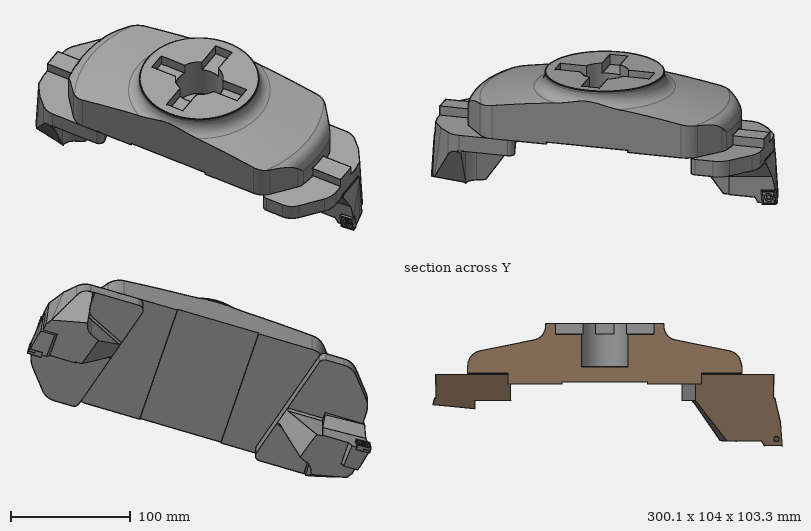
import cadquery as cq
import math


HALF_WIDTH = 104.0 / 2
CORNER_FILLET = 16.0
CHAMFER_ANGLE = math.radians(51)
KEY_WIDTH = 17.5
KEY_HEIGHT = 8.0
KEY_INNER_X = 81
FAR = 180

BOSS_RADIUS = 100.0 / 2
BOSS_TOP = 50.7
BOSS_CHAMFER = 0.5
CONE_ANGLE = math.radians(11.4)
CONE_INNER_RADIUS = 59.0
CONE_INNER_HEIGHT = 37.2
BRIDGE_END_RADIUS = 115.0
RIM_FILLET = 13.2
BRIDGE_CORNER_X = 90
BRIDGE_END_FILLET = 11.5
BORE_DIAMETER = 40.0
BORE_DEPTH = 36
CROSS_SLOT_LENGTH = 82.2
CROSS_SLOT_WIDTH = 15.5
CROSS_SLOT_DEPTH = 9
RELIEF_LENGTH = 71.0
RELIEF_DEPTH = 1.8
KEYWAY_HEIGHT = 9

PLATE_INNER_BACK_X = 63
PLATE_INNER_CUTTING_X = 91.0
PLATE_END_X = 141.3
PLATE_THICKNESS = 13.8
PLATE_CORNER_X = 118.0
PLATE_END_FILLET = 19.5
BACK_CHAMFER_ANGLE = math.radians(45)
INNER_FILLET = 4.8
BACK_ALLOWANCE = 3

BODY_BOTTOM = -47.7
SHOULDER_X = 109.8
SEAT_X = 108.3
SEAT_FACE_Y = -6.3
LEG_FACE_Y = 1.0
LEG_TIP_Y = 13.5
LEG_BACK_SLOPE = 0.49
LEG_FILLET = 11.5
LEG_END_LEAN = 23.5
LEG_OVERLAP = 3
ROOT_FLARE = 1.8
BODY_BOTTOM_BACK = -46.8
BACK_SLOPE_TOP = -16.2
BACK_SLOPE_BOTTOM_Y = 37.0
CHAMFER_FOOT = (139.5, 30.3, BODY_BOTTOM)

SEAT_TILT = 5.7
NOSE_TOP = -11.7
NOSE_INNER_X = 130.8
NOSE_SIDE_Y = 20.0
NOSE_BOTTOM = -52.0
NOSE_BOTTOM_BACK = -50.7
NOSE_LEDGE_X = 142.2
NOSE_FOOT_SETBACK = 3
RAKE_Y = 0
GULLET_TOP = -18.3
GULLET_ROOF_END = -31.5

INSERT_SIDE = 12
INSERT_THICKNESS = 4.5
INSERT_X = 143.5
INSERT_Z = -46.0
CHIP_GROOVE_SIDE = 9.5
CHIP_GROOVE_DEPTH = 0.3
SCREW_DIAMETER = 4.0
SCREW_HEAD_DIAMETER = 7.2
SCREW_HEAD_HEIGHT = 1.8
SCREW_LENGTH = 12
SOCKET_DEPTH = 1.0


def box(x_range, y_range, z_range):
    """Box between two limits along each axis."""
    size = [high - low for low, high in (x_range, y_range, z_range)]
    return cq.Workplane().box(*size, centered=False).translate((x_range[0], y_range[0], z_range[0]))


def outside_of(p, q, r):
    """Large block on the outer (+X) side of the plane through three points."""
    origin = cq.Vector(*p)
    normal = (cq.Vector(*q) - origin).cross(cq.Vector(*r) - origin)
    if normal.x < 0:
        normal = -normal
    return cq.Workplane(cq.Plane(origin, normal=normal)).rect(2 * FAR, 2 * FAR).extrude(FAR)


def key_block(end_x, height):
    """Block along the X axis on the mounting plane, the width of the key."""
    return box((KEY_INNER_X, end_x), (-KEY_WIDTH / 2, KEY_WIDTH / 2), (0, height))


def round_edge(solid, point, radius):
    """Fillet the edge whose middle is at a point."""
    return solid.edges(cq.NearestToPointSelector(point)).fillet(radius)


def opposite(body):
    """The same body at the other end of the head."""
    return body.rotate((0, 0, 0), (0, 0, 1), 180)



def bridge_turned_form():
    """Boss, cone and rounded rim, turned about the Z axis."""
    lean = math.sin(CONE_ANGLE)
    drop = math.cos(CONE_ANGLE)
    middle_angle = (math.pi / 2 - CONE_ANGLE) / 2
    boss_fillet = (CONE_INNER_RADIUS - BOSS_RADIUS) / (1 - lean)
    boss_fillet_top = CONE_INNER_HEIGHT + boss_fillet * drop
    cone_outer_radius = BRIDGE_END_RADIUS - RIM_FILLET * (1 - lean)
    cone_outer_height = CONE_INNER_HEIGHT - math.tan(CONE_ANGLE) * (cone_outer_radius - CONE_INNER_RADIUS)
    rim_center = (BRIDGE_END_RADIUS - RIM_FILLET, cone_outer_height - RIM_FILLET * drop)
    boss_center_x = BOSS_RADIUS + boss_fillet
    boss_middle = (boss_center_x - boss_fillet * math.cos(middle_angle),
                   boss_fillet_top - boss_fillet * math.sin(middle_angle))
    rim_middle = (rim_center[0] + RIM_FILLET * math.cos(middle_angle),
                  rim_center[1] + RIM_FILLET * math.sin(middle_angle))
    return (
        cq.Workplane("XZ")
        .lineTo(0, BOSS_TOP)
        .lineTo(BOSS_RADIUS - BOSS_CHAMFER, BOSS_TOP)
        .lineTo(BOSS_RADIUS, BOSS_TOP - BOSS_CHAMFER)
        .lineTo(BOSS_RADIUS, boss_fillet_top)
        .threePointArc(boss_middle, (CONE_INNER_RADIUS, CONE_INNER_HEIGHT))
        .lineTo(cone_outer_radius, cone_outer_height)
        .threePointArc(rim_middle, (BRIDGE_END_RADIUS, rim_center[1]))
        .lineTo(BRIDGE_END_RADIUS, 0)
        .close()
        .revolve()
    )


def bridge_plan():
    """Block with round ends and four chamfered corners, as high as the boss."""
    chamfer_distance = (
        BRIDGE_CORNER_X * math.sin(CHAMFER_ANGLE) + HALF_WIDTH * math.cos(CHAMFER_ANGLE)
    )
    end_angle = math.pi / 2 - CHAMFER_ANGLE - math.acos(chamfer_distance / BRIDGE_END_RADIUS)
    end_x = BRIDGE_END_RADIUS * math.cos(end_angle)
    end_y = BRIDGE_END_RADIUS * math.sin(end_angle)
    block = (
        cq.Workplane()
        .moveTo(-BRIDGE_CORNER_X, HALF_WIDTH)
        .lineTo(BRIDGE_CORNER_X, HALF_WIDTH)
        .lineTo(end_x, end_y)
        .threePointArc((BRIDGE_END_RADIUS, 0), (end_x, -end_y))
        .lineTo(BRIDGE_CORNER_X, -HALF_WIDTH)
        .lineTo(-BRIDGE_CORNER_X, -HALF_WIDTH)
        .lineTo(-end_x, -end_y)
        .threePointArc((-BRIDGE_END_RADIUS, 0), (-end_x, end_y))
        .close()
        .extrude(BOSS_TOP)
    )
    for side in (1, -1):
        for end in (1, -1):
            block = round_edge(block, (end * BRIDGE_CORNER_X, side * HALF_WIDTH, BOSS_TOP / 2), CORNER_FILLET)
            block = round_edge(block, (end * end_x, side * end_y, BOSS_TOP / 2), BRIDGE_END_FILLET)
    return block


def make_bridge():
    bridge = bridge_turned_form().intersect(bridge_plan())
    top = cq.Workplane().workplane(offset=BOSS_TOP)
    bridge = bridge.cut(top.circle(BORE_DIAMETER / 2).extrude(-BORE_DEPTH))
    for angle in (0, 90):
        slot = top.transformed((0, 0, angle)).rect(CROSS_SLOT_LENGTH, CROSS_SLOT_WIDTH)
        bridge = bridge.cut(slot.extrude(-CROSS_SLOT_DEPTH))
    bridge = bridge.cut(cq.Workplane().rect(RELIEF_LENGTH, 2 * FAR).extrude(RELIEF_DEPTH))
    keyway = key_block(FAR, KEYWAY_HEIGHT)
    return bridge.cut(keyway).cut(opposite(keyway))



def insert_plane(depth=0):
    """Plane of the cutting face, tilted with the seat; depth goes into the cartridge (+Y)."""
    tilt = math.radians(SEAT_TILT)
    return cq.Plane(
        origin=(INSERT_X, depth - INSERT_THICKNESS / 2, INSERT_Z),
        xDir=(math.cos(tilt), 0, math.sin(tilt)),
        normal=(0, -1, 0),
    )


def make_insert_blank():
    return cq.Workplane(insert_plane()).rect(INSERT_SIDE, INSERT_SIDE).extrude(-INSERT_THICKNESS)


def make_screw_blank():
    """Countersunk screw without its socket, head flush with the floor of the chip groove."""
    return (
        cq.Workplane("XY")
        .lineTo(SCREW_HEAD_DIAMETER / 2, 0)
        .lineTo(SCREW_DIAMETER / 2, SCREW_HEAD_HEIGHT)
        .lineTo(SCREW_DIAMETER / 2, SCREW_LENGTH)
        .lineTo(0, SCREW_LENGTH)
        .close()
        .revolve(360, (0, 0), (0, 1))
        .translate(insert_plane(CHIP_GROOVE_DEPTH).origin.toTuple())
    )


def make_insert():
    groove = cq.Workplane(insert_plane()).rect(CHIP_GROOVE_SIDE, CHIP_GROOVE_SIDE)
    return make_insert_blank().cut(groove.extrude(-CHIP_GROOVE_DEPTH)).cut(make_screw_blank())


def make_screw():
    socket = cq.Workplane(insert_plane(CHIP_GROOVE_DEPTH)).circle(SCREW_DIAMETER / 2)
    return make_screw_blank().cut(socket.extrude(-SOCKET_DEPTH))



def plate_inner_x(y):
    """X of the slanted inner end of the plate."""
    across = (HALF_WIDTH - y) / (2 * HALF_WIDTH)
    return PLATE_INNER_BACK_X + across * (PLATE_INNER_CUTTING_X - PLATE_INNER_BACK_X)


def cartridge_plan(bottom):
    """Full outline of the cartridge from the mounting plane down to a given height."""
    reach = PLATE_END_X - PLATE_CORNER_X
    back_end_x = PLATE_END_X + BACK_ALLOWANCE
    cutting_y = reach * math.tan(CHAMFER_ANGLE) - HALF_WIDTH
    back_y = HALF_WIDTH - (back_end_x - PLATE_CORNER_X) * math.tan(BACK_CHAMFER_ANGLE)
    outline = [
        (PLATE_INNER_BACK_X, HALF_WIDTH),
        (PLATE_CORNER_X, HALF_WIDTH),
        (back_end_x, back_y),
        (back_end_x, NOSE_SIDE_Y),
        (PLATE_END_X, NOSE_SIDE_Y),
        (PLATE_END_X, cutting_y),
        (PLATE_CORNER_X, -HALF_WIDTH),
        (PLATE_INNER_CUTTING_X, -HALF_WIDTH),
    ]
    block = cq.Workplane().polyline(outline).close().extrude(bottom)

    fillets = {
        outline[0]: INNER_FILLET,
        outline[1]: CORNER_FILLET,
        outline[5]: PLATE_END_FILLET,
        outline[6]: CORNER_FILLET,
        outline[7]: INNER_FILLET,
    }
    for corner, radius in fillets.items():
        block = round_edge(block, (*corner, bottom / 2), radius)
    return block


def inner_leg():
    """Leg that reaches inward under the plate, with a leaning end face and a flared root."""
    tip_x = plate_inner_x(LEG_TIP_Y)
    start_x = PLATE_INNER_BACK_X
    shoulder_y = LEG_TIP_Y + (SHOULDER_X - tip_x) * LEG_BACK_SLOPE
    overlap_x = SHOULDER_X + LEG_OVERLAP
    plan = [
        (start_x, LEG_FACE_Y),
        (overlap_x, LEG_FACE_Y),
        (overlap_x, HALF_WIDTH),
        (SHOULDER_X, HALF_WIDTH),
        (SHOULDER_X, shoulder_y),
        (start_x, LEG_TIP_Y + (start_x - tip_x) * LEG_BACK_SLOPE),
    ]
    leg_height = -PLATE_THICKNESS - BODY_BOTTOM
    plate_underside = cq.Workplane().workplane(offset=-PLATE_THICKNESS)
    leg = plate_underside.polyline(plan).close().extrude(-leg_height)
    leg = round_edge(leg, (SHOULDER_X, shoulder_y, BODY_BOTTOM / 2), LEG_FILLET)
    root_outline = leg.faces(">Z").wires().val().translate((0, 0, -ROOT_FLARE))
    root = cq.Workplane().add(root_outline).toPending().extrude(ROOT_FLARE, taper=-45)
    leg = leg.union(root.intersect(box((0, SEAT_X), (-HALF_WIDTH, HALF_WIDTH), (BODY_BOTTOM, 0))))
    end_face = outside_of(
        (tip_x, LEG_TIP_Y, -PLATE_THICKNESS),
        (plate_inner_x(LEG_FACE_Y), LEG_FACE_Y, -PLATE_THICKNESS),
        (tip_x + LEG_END_LEAN, LEG_TIP_Y + LEG_END_LEAN * LEG_BACK_SLOPE, BODY_BOTTOM),
    )
    return leg.intersect(end_face)


def back_slope():
    """Block removed below the slanted back face of the body, which also turns toward the nose."""
    return outside_of(
        (SHOULDER_X, HALF_WIDTH, BACK_SLOPE_TOP),
        (SHOULDER_X, BACK_SLOPE_BOTTOM_Y, BODY_BOTTOM),
        CHAMFER_FOOT,
    )


def bottom_clearance():
    """Wedge that lets the bottom of the body rise from the rake face to the back."""
    profile = [
        (RAKE_Y, BODY_BOTTOM),
        (BACK_SLOPE_BOTTOM_Y, BODY_BOTTOM_BACK),
        (BACK_SLOPE_BOTTOM_Y, BODY_BOTTOM),
    ]
    return cq.Workplane("YZ").polyline(profile).close().extrude(FAR)


def gullet():
    """Chip space in front of the rake face, with a slanted roof, tilted with the seat."""
    profile = [
        (SEAT_FACE_Y, GULLET_TOP),
        (RAKE_Y, GULLET_ROOF_END),
        (RAKE_Y, -FAR),
        (-FAR, -FAR),
        (-FAR, GULLET_TOP),
    ]
    cut = cq.Workplane("YZ").polyline(profile).close().extrude(FAR, both=True)
    cut = cut.rotate((0, 0, GULLET_TOP), (0, 1, GULLET_TOP), -SEAT_TILT).translate((SEAT_X, 0, 0))
    return cut.intersect(box((SEAT_X, 2 * FAR), (-FAR, FAR), (-FAR, FAR)))


def nose():
    """Cutting nose beyond the end of the plate, with faceted clearance faces."""
    profile = [
        (NOSE_INNER_X, NOSE_TOP),
        (FAR, NOSE_TOP),
        (FAR, NOSE_BOTTOM),
        (NOSE_INNER_X + NOSE_FOOT_SETBACK, NOSE_BOTTOM),
        (NOSE_INNER_X, BODY_BOTTOM),
    ]
    block = (
        cq.Workplane("XZ", origin=(0, SEAT_FACE_Y, 0))
        .polyline(profile).close().extrude(SEAT_FACE_Y - NOSE_SIDE_Y)
    )
    bottom_profile = [(RAKE_Y, NOSE_BOTTOM), (NOSE_SIDE_Y, NOSE_BOTTOM_BACK), (NOSE_SIDE_Y, NOSE_BOTTOM)]
    block = block.cut(cq.Workplane("YZ").polyline(bottom_profile).close().extrude(FAR))
    facet_back = (143.7, 17.0, -18)
    facet_front = (148.0, 1.8, -36)
    foot = (146.7, 13.5, NOSE_BOTTOM_BACK)
    foot_back = (145.2, NOSE_SIDE_Y, NOSE_BOTTOM_BACK)
    ledge_front = (NOSE_LEDGE_X, SEAT_FACE_Y, NOSE_TOP)
    ledge_back = (NOSE_LEDGE_X, NOSE_SIDE_Y, NOSE_TOP)
    upper_face = outside_of(ledge_front, ledge_back, facet_front)
    lower_face = outside_of(facet_back, facet_front, foot)
    side_face = outside_of(facet_back, foot, foot_back)
    return block.cut(upper_face).cut(lower_face).cut(side_face)


def corner_clearance():
    """Two facets that take the back outer corner from the chamfer to the end of the plate."""
    chamfer_edge = (130.8, 39.3, 0)
    ridge = (139.8, 25.8, 0)
    end_edge = (PLATE_END_X, 16.0, 0)
    ledge_end = (PLATE_END_X, NOSE_SIDE_Y, NOSE_TOP)
    return [outside_of(chamfer_edge, ridge, CHAMFER_FOOT), outside_of(ridge, end_edge, ledge_end)]


def make_cartridge():
    plate = cartridge_plan(-PLATE_THICKNESS)
    full_depth = cartridge_plan(BODY_BOTTOM)
    outer_block = full_depth.intersect(box((SHOULDER_X, FAR), (LEG_FACE_Y, FAR), (BODY_BOTTOM, 0)))
    seat_block = full_depth.intersect(box((SEAT_X, FAR), (SEAT_FACE_Y, LEG_TIP_Y), (BODY_BOTTOM, 0)))
    lower_body = outer_block.union(seat_block).union(inner_leg()).cut(back_slope()).cut(bottom_clearance())
    cartridge = plate.union(lower_body)
    for facet in corner_clearance():
        cartridge = cartridge.cut(facet)
    cartridge = cartridge.union(nose()).cut(gullet())
    cartridge = cartridge.union(key_block(PLATE_END_X, KEY_HEIGHT))
    return cartridge.cut(make_insert_blank()).cut(make_screw_blank())


bridge = make_bridge()
end_bodies = []
for body in (make_cartridge(), make_insert(), make_screw()):
    end_bodies += [body.val(), opposite(body).val()]

result = cq.Compound.makeCompound([bridge.val(), *end_bodies])